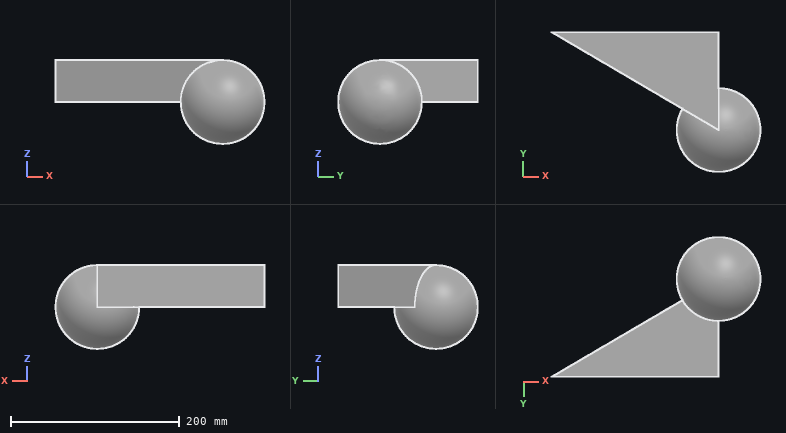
import cadquery as cq

ball_radius = 50.0
wedge_length = 199.0
wedge_width = 116.5
wedge_height = ball_radius


def make_ball():
    """Full sphere centered on the origin."""
    return cq.Workplane("XY").sphere(ball_radius)


def make_wedge(ball):
    """Right-triangular prism, hollowed at one corner to seat the ball."""
    prism = (
        cq.Workplane("XY")
        .polyline([(0, 0), (0, wedge_width), (-wedge_length, wedge_width)])
        .close()
        .extrude(wedge_height)
    )
    return prism.cut(ball)


ball = make_ball()
wedge = make_wedge(ball)

result = cq.Compound.makeCompound([ball.val(), *wedge.vals()])